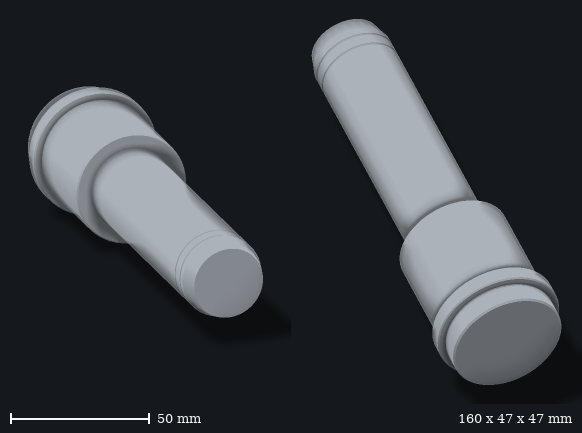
import cadquery as cq

total_length = 160.0
flange_start = 8.8
flange_end = 15.0
head_end = 54.0
lead_length = 5.3
tip_length = 7.2

head_diameter = 42.0
lead_diameter = 41.8
flange_diameter = 47.0
shaft_diameter = 30.0
tip_diameter = 26.2

head_chamfer = 0.6
edge_chamfer = 0.5
relief_width = 1.0
relief_depth = 0.3
shaft_fillet = 0.5
shaft_groove_width = 1.0
shaft_groove_depth = 0.3
shaft_groove_starts = (144.2, 149.5)


def cylinder(start, end, diameter):
    """Solid cylinder along X between two stations."""
    return cq.Workplane("YZ", origin=(start, 0, 0)).circle(diameter / 2).extrude(end - start)


def cone(start, end, start_diameter, end_diameter):
    """Solid truncated cone along X between two stations."""
    profile = [(start, 0), (start, start_diameter / 2), (end, end_diameter / 2), (end, 0)]
    return cq.Workplane("XY").polyline(profile).close().revolve(360, (0, 0, 0), (1, 0, 0))


def relief(start):
    """Ring that cuts a shallow square groove around the head."""
    end = start + relief_width
    outer = cylinder(start, end, head_diameter)
    return outer.cut(cylinder(start, end, head_diameter - 2 * relief_depth))


def round_groove(start):
    """Ring that cuts a shallow groove with a rounded bottom around the shaft."""
    surface = shaft_diameter / 2
    middle = start + shaft_groove_width / 2
    end = start + shaft_groove_width
    profile = (
        cq.Workplane("XY")
        .moveTo(start, surface)
        .threePointArc((middle, surface - shaft_groove_depth), (end, surface))
        .close()
    )
    return profile.revolve(360, (0, 0, 0), (1, 0, 0))


lead_start = head_end - lead_length
head = cylinder(0, lead_start, head_diameter).faces("<X").chamfer(head_chamfer)
lead = cone(lead_start, head_end, head_diameter, lead_diameter).faces(">X").chamfer(edge_chamfer)

for relief_start in (flange_start - relief_width, flange_end):
    head = head.cut(relief(relief_start))

flange = cylinder(flange_start, flange_end, flange_diameter).faces("<X or >X").chamfer(edge_chamfer)

tip_start = total_length - tip_length
shaft = cylinder(head_end, tip_start, shaft_diameter)
for groove_start in shaft_groove_starts:
    shaft = shaft.cut(round_groove(groove_start))
tip = cone(tip_start, total_length, shaft_diameter, tip_diameter)


shaft_radius = shaft_diameter / 2
fillet_ring = (
    cq.Workplane("XY")
    .moveTo(head_end, shaft_radius + shaft_fillet)
    .radiusArc((head_end + shaft_fillet, shaft_radius), -shaft_fillet)
    .lineTo(head_end + shaft_fillet, 0)
    .lineTo(head_end, 0)
    .close()
    .revolve(360, (0, 0, 0), (1, 0, 0))
)

result = head.union(lead).union(flange).union(shaft).union(fillet_ring).union(tip)